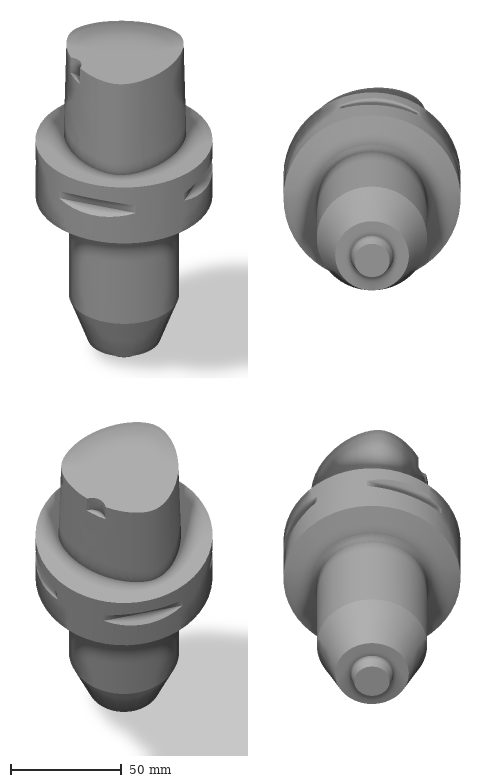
import cadquery as cq
import math

shank_length = 48.0
flange_height = 30.0
cone_start_depth = 83.0
cone_end_depth = 106.0
tip_depth = 112.0

flange_radius = 40.0
body_radius = 25.0
cone_end_radius = 16.6
tip_root_radius = 9.8
tip_end_radius = 8.0
flange_underside_angle = 15.0
neck_fillet = 2.9

shank_mean_radius = 27.7
lobe_eccentricity = 2.0
taper_per_length = 1 / 40
lobe_half_angle = 33.5
lobe_angles = (-30, 90, 210)

slot_radius = 6.0
slot_depth = 8.3
slot_back_y = -22.0

notch_level = -12.0
notch_floor_height = 3.8
notch_depth = 4.5
notch_wall_angle = 30.0
notch_angles = (45, 135, 225, 315)


def make_body():
    underside_drop = (flange_radius - body_radius) * math.tan(math.radians(flange_underside_angle))
    neck_level = -flange_height - underside_drop
    profile = (
        cq.Workplane("XZ")
        .moveTo(0, 0)
        .lineTo(flange_radius, 0)
        .lineTo(flange_radius, -flange_height)
        .lineTo(body_radius, neck_level)
        .lineTo(body_radius, -cone_start_depth)
        .lineTo(cone_end_radius, -cone_end_depth)
        .lineTo(tip_root_radius, -cone_end_depth)
        .lineTo(tip_end_radius, -tip_depth)
        .lineTo(0, -tip_depth)
        .close()
    )
    body = profile.revolve(360, (0, 0, 0), (0, 1, 0))
    neck_edge = cq.selectors.BoxSelector(
        (-body_radius, -body_radius, neck_level - neck_fillet),
        (body_radius, body_radius, neck_level + neck_fillet),
        boundingbox=False,
    )
    return body.edges("%CIRCLE").edges(neck_edge).fillet(neck_fillet)


def lobed_point(mean_radius, level, angle_degrees):
    """Point of the lobed curve whose outward normal has the given angle."""
    angle = math.radians(angle_degrees)
    lobe_phase = 3 * (angle - math.radians(lobe_angles[0]))
    normal_distance = mean_radius + lobe_eccentricity * math.cos(lobe_phase)
    tangent_distance = -3 * lobe_eccentricity * math.sin(lobe_phase)
    return cq.Vector(
        normal_distance * math.cos(angle) - tangent_distance * math.sin(angle),
        normal_distance * math.sin(angle) + tangent_distance * math.cos(angle),
        level,
    )


def lobed_curve(mean_radius, level, start_angle, end_angle):
    spans = 8
    step = (end_angle - start_angle) / spans
    points = [lobed_point(mean_radius, level, start_angle + i * step) for i in range(spans + 1)]
    return cq.Edge.makeSpline(points)


def lobed_wire(mean_radius, level):
    """Closed outline of alternating lobes and flatter sides."""
    edges = []
    lobe_pitch = 360 / len(lobe_angles)
    for lobe_angle in lobe_angles:
        lobe_start = lobe_angle - lobe_half_angle
        lobe_end = lobe_angle + lobe_half_angle
        edges.append(lobed_curve(mean_radius, level, lobe_start, lobe_end))
        edges.append(lobed_curve(mean_radius, level, lobe_end, lobe_start + lobe_pitch))
    return cq.Wire.assembleEdges(edges)


def make_shank():
    top_mean_radius = shank_mean_radius - shank_length * taper_per_length
    base = lobed_wire(shank_mean_radius, 0)
    top = lobed_wire(top_mean_radius, shank_length)
    return cq.Workplane(cq.Solid.makeLoft([base, top], True))


def make_slot():
    return (
        cq.Workplane("XY", origin=(0, slot_back_y - slot_radius, shank_length - slot_depth))
        .circle(slot_radius)
        .extrude(slot_depth)
    )


def make_notch(angle):
    floor_x = flange_radius - notch_depth
    outer_x = flange_radius + notch_depth
    floor_half = notch_floor_height / 2
    outer_half = floor_half + (outer_x - floor_x) * math.tan(math.radians(notch_wall_angle))
    return (
        cq.Workplane("XZ", origin=(0, 0, notch_level))
        .moveTo(floor_x, -floor_half)
        .lineTo(outer_x, -outer_half)
        .lineTo(outer_x, outer_half)
        .lineTo(floor_x, floor_half)
        .close()
        .extrude(flange_radius, both=True)
        .rotate((0, 0, 0), (0, 0, 1), angle)
    )


result = make_body().union(make_shank()).cut(make_slot())
for notch_angle in notch_angles:
    result = result.cut(make_notch(notch_angle))